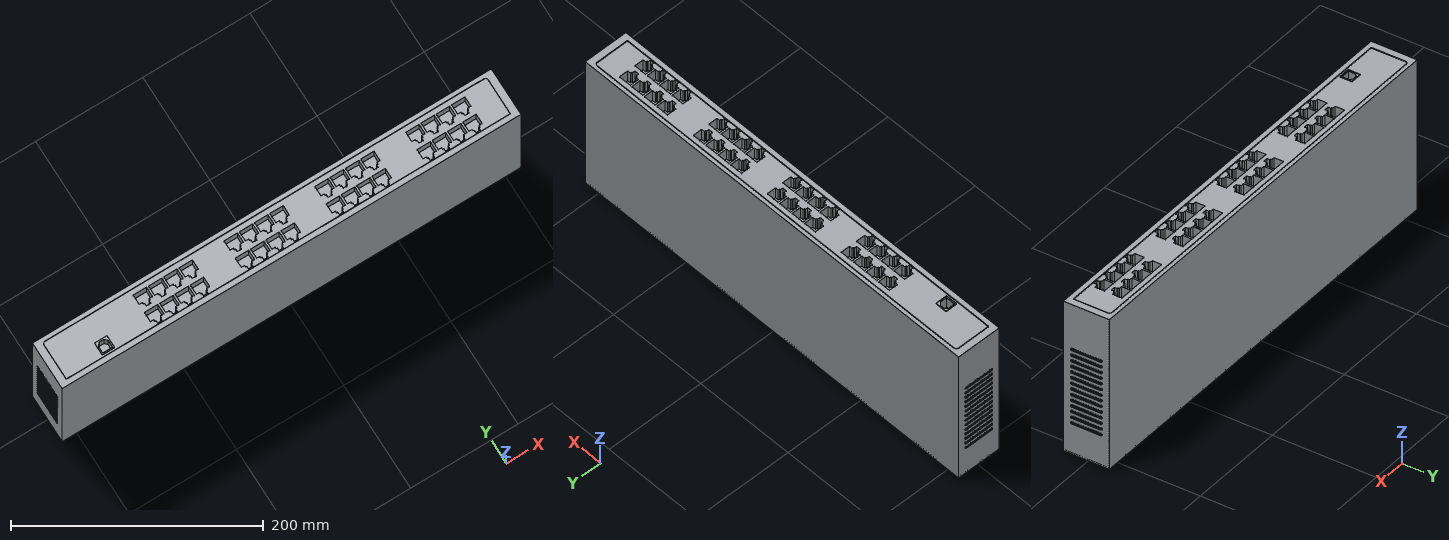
import cadquery as cq

body_width = 428.0
body_depth = 44.5
total_height = 148.25
badge_thickness = 2.25
body_height = total_height - badge_thickness
wall = 1.0

panel_width = 414.0
panel_min_y = -17.25
panel_max_y = 18.25
panel_depth = panel_max_y - panel_min_y
panel_centre_y = (panel_min_y + panel_max_y) / 2
panel_recess = 0.2
panel_corner_radius = 2.5
panel_floor_z = body_height - panel_recess

group_count = 4
columns_per_group = 4
row_count = 2
group_pitch = 84.7
column_pitch = 14.25
row_pitch = 16.8
first_port_x = -119.2
first_port_top_y = 13.5
port_depth = 12.0
port_steps = [(12.4, 9.0), (6.2, 10.5), (4.1, 13.0)]

socket_x = -166.5
socket_y = -9.6
socket_size = 11.6
socket_rim_depth = 0.5
socket_opening = 9.2
socket_corner_cut = 2.5

connector_block_depth = port_depth + panel_recess + wall

slot_count = 14
slot_pitch = 5.5
slot_length = 30.0
slot_height = 2.0
slot_centre_z = 66.25

badge_width = 31.0
badge_depth = 24.0
badge_x = -181.5
badge_y = -4.0


def box_below(width, depth, height, top_centre):
    """Box whose top face is centred on the given point."""
    x, y, z = top_centre
    return cq.Workplane("XY").box(width, depth, height).translate((x, y, z - height / 2))


def make_housing():
    top = (0, 0, body_height)
    shell = box_below(body_width, body_depth, body_height, top)
    cavity = box_below(
        body_width - 2 * wall,
        body_depth - 2 * wall,
        body_height - 2 * wall,
        (0, 0, body_height - wall),
    )
    panel_top = (0, panel_centre_y, body_height)
    connector_block = box_below(panel_width, panel_depth, connector_block_depth, panel_top)
    return shell.cut(cavity).union(connector_block)


def make_panel_recess():
    panel = box_below(panel_width, panel_depth, panel_recess, (0, panel_centre_y, body_height))
    return panel.edges("|Z and >Y").fillet(panel_corner_radius)


def make_port():
    """Port pocket with the middle of its top edge at X = Y = 0."""
    port = cq.Workplane("XY")
    for width, reach in port_steps:
        port = port.union(box_below(width, reach, port_depth, (0, -reach / 2, panel_floor_z)))
    return port


def make_ports():
    port = make_port().val()
    ports = cq.Workplane("XY")
    for group in range(group_count):
        for column in range(columns_per_group):
            x = first_port_x + group * group_pitch + column * column_pitch
            for row in range(row_count):
                ports.add(port.translate(cq.Vector(x, first_port_top_y - row * row_pitch, 0)))
    return ports.combine()


def make_socket():
    top = (socket_x, socket_y, panel_floor_z)
    rim = box_below(socket_size, socket_size, socket_rim_depth, top)
    opening = box_below(socket_opening, socket_opening, port_depth, top)
    return rim.union(opening.edges("|Z and >Y").chamfer(socket_corner_cut))


def make_slots():
    return (
        cq.Workplane("YZ", origin=(0, 0, slot_centre_z))
        .rarray(1, slot_pitch, 1, slot_count)
        .slot2D(slot_length, slot_height)
        .extrude(body_width / 2, both=True)
    )


def make_badge():
    return box_below(badge_width, badge_depth, badge_thickness, (badge_x, badge_y, 0))


result = (
    make_housing()
    .cut(make_panel_recess())
    .cut(make_ports())
    .cut(make_socket())
    .cut(make_slots())
    .union(make_badge())
)